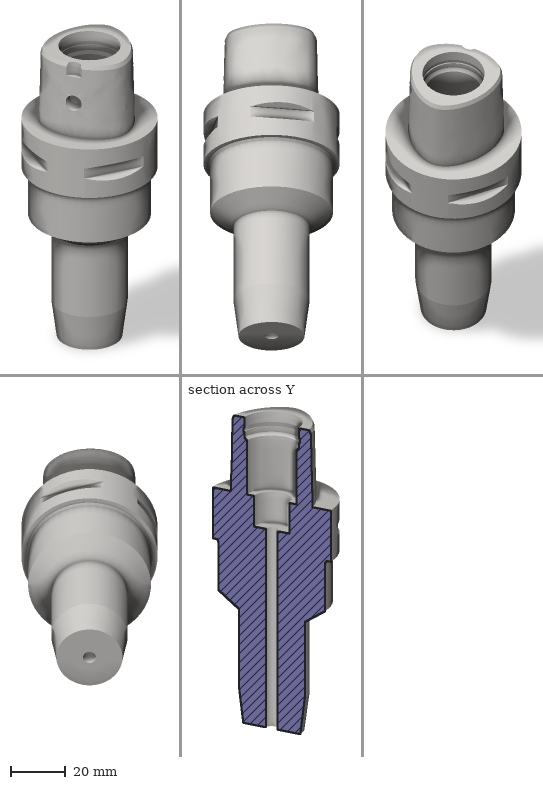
import cadquery as cq
import math

TOTAL_HEIGHT = 120.0
FLANGE_TOP = 90.1
FLANGE_THICKNESS = 20.2
FLANGE_BOTTOM = FLANGE_TOP - FLANGE_THICKNESS
RELIEF_HEIGHT = 1.1
SHOULDER_BOTTOM = 50.2
NECK_TOP = 44.4
TIP_HEIGHT = 14.6

FLANGE_DIAMETER = 50.0
FLANGE_RADIUS = FLANGE_DIAMETER / 2
RELIEF_RADIUS = 23.2
SHOULDER_RADIUS = 22.5
NECK_RADIUS = 14.0
TIP_RADIUS = 12.1

SHANK_BASE_RADIUS = 17.6
SHANK_TOP_RADIUS = 16.9
LOBE_HEIGHT = 1.1
LEAD_IN_HEIGHT = 1.5
LEAD_IN_INSET = 0.7
PROFILE_POINTS = 48

MOUTH_RADIUS = 11.4
MOUTH_DEPTH = 4.1
GROOVE_RADIUS = 11.9
GROOVE_HEIGHT = 1.7
LAND_HEIGHT = 2.2
SEAT_RADIUS = 10.3
SEAT_HEIGHT = MOUTH_RADIUS - SEAT_RADIUS
SEAT_BORE_DEPTH = 30.0
INNER_RADIUS = 7.3
INNER_DEPTH = 42.0
COOLANT_RADIUS = 2.4

NOTCH_RADIUS = 3.2
NOTCH_CENTER_Y = -17.2
NOTCH_DEPTH = 5.2
RADIAL_HOLE_RADIUS = 3.1
RADIAL_HOLE_Z = 104.0
RADIAL_HOLE_FLOOR_Y = -11.8

SLOT_COUNT = 4
SLOT_FLOOR_DISTANCE = 21.8
SLOT_LENGTH = 23.8
SLOT_BEVEL_DISTANCE = 22.5
SLOT_FLOOR_HEIGHT = 4.3
SLOT_MOUTH_HEIGHT = 6.7
SLOT_Z = (FLANGE_TOP + FLANGE_BOTTOM) / 2


def revolve_about_axis(points):
    """Revolve a closed (radius, height) outline about Z."""
    return cq.Workplane("XZ").polyline(points).close().revolve(360, (0, 0, 0), (0, 1, 0))


def make_body():
    return revolve_about_axis([
        (0, 0),
        (TIP_RADIUS, 0),
        (NECK_RADIUS, TIP_HEIGHT),
        (NECK_RADIUS, NECK_TOP),
        (SHOULDER_RADIUS, SHOULDER_BOTTOM),
        (SHOULDER_RADIUS, FLANGE_BOTTOM - RELIEF_HEIGHT),
        (RELIEF_RADIUS, FLANGE_BOTTOM),
        (FLANGE_RADIUS, FLANGE_BOTTOM),
        (FLANGE_RADIUS, FLANGE_TOP),
        (0, FLANGE_TOP),
    ])


def lobed_wire(mean_radius, z):
    """Constant-width trilobe with one lobe toward +Y."""
    points = []
    for i in range(PROFILE_POINTS):
        angle = 2 * math.pi * i / PROFILE_POINTS
        along = mean_radius * math.cos(angle) + LOBE_HEIGHT * (2 * math.cos(2 * angle) - math.cos(4 * angle))
        across = mean_radius * math.sin(angle) - LOBE_HEIGHT * (2 * math.sin(2 * angle) + math.sin(4 * angle))
        points.append(cq.Vector(-across, along, z))
    return cq.Wire.assembleEdges([cq.Edge.makeSpline(points, periodic=True)])


def make_shank():
    lead_in_z = TOTAL_HEIGHT - LEAD_IN_HEIGHT
    base = lobed_wire(SHANK_BASE_RADIUS, FLANGE_TOP)
    middle = lobed_wire(SHANK_TOP_RADIUS, lead_in_z)
    top = lobed_wire(SHANK_TOP_RADIUS - LEAD_IN_INSET, TOTAL_HEIGHT)
    taper = cq.Workplane(cq.Solid.makeLoft([base, middle], True))
    lead_in = cq.Workplane(cq.Solid.makeLoft([middle, top], True))
    return taper.union(lead_in)


def make_bore():
    groove_top = TOTAL_HEIGHT - MOUTH_DEPTH
    groove_bottom = groove_top - GROOVE_HEIGHT
    seat_top = groove_bottom - LAND_HEIGHT
    seat_floor = TOTAL_HEIGHT - SEAT_BORE_DEPTH
    inner_floor = TOTAL_HEIGHT - INNER_DEPTH
    return revolve_about_axis([
        (0, 0),
        (COOLANT_RADIUS, 0),
        (COOLANT_RADIUS, inner_floor),
        (INNER_RADIUS, inner_floor),
        (INNER_RADIUS, seat_floor),
        (SEAT_RADIUS, seat_floor),
        (SEAT_RADIUS, seat_top - SEAT_HEIGHT),
        (MOUTH_RADIUS, seat_top),
        (MOUTH_RADIUS, groove_bottom),
        (GROOVE_RADIUS, groove_bottom),
        (GROOVE_RADIUS, groove_top),
        (MOUTH_RADIUS, groove_top),
        (MOUTH_RADIUS, TOTAL_HEIGHT),
        (0, TOTAL_HEIGHT),
    ])


def make_notch():
    return (
        cq.Workplane("XY", origin=(0, NOTCH_CENTER_Y, TOTAL_HEIGHT - NOTCH_DEPTH))
        .circle(NOTCH_RADIUS)
        .extrude(NOTCH_DEPTH)
    )


def make_radial_hole():
    return (
        cq.Workplane("XZ", origin=(0, RADIAL_HOLE_FLOOR_Y, RADIAL_HOLE_Z))
        .circle(RADIAL_HOLE_RADIUS)
        .extrude(FLANGE_RADIUS)
    )


def make_gripper_slot(angle):
    """Slot across the flange with straight walls at its floor that flare outward, facing the given direction."""
    floor_half = SLOT_FLOOR_HEIGHT / 2
    mouth_half = SLOT_MOUTH_HEIGHT / 2
    return (
        cq.Workplane("XZ")
        .polyline([
            (SLOT_FLOOR_DISTANCE, SLOT_Z - floor_half),
            (SLOT_BEVEL_DISTANCE, SLOT_Z - floor_half),
            (FLANGE_RADIUS, SLOT_Z - mouth_half),
            (FLANGE_RADIUS, SLOT_Z + mouth_half),
            (SLOT_BEVEL_DISTANCE, SLOT_Z + floor_half),
            (SLOT_FLOOR_DISTANCE, SLOT_Z + floor_half),
        ])
        .close()
        .extrude(SLOT_LENGTH / 2, both=True)
        .rotate((0, 0, 0), (0, 0, 1), angle)
    )


result = make_body().union(make_shank())
result = result.cut(make_bore()).cut(make_notch()).cut(make_radial_hole())
for slot in range(SLOT_COUNT):
    result = result.cut(make_gripper_slot((slot + 0.5) * 360 / SLOT_COUNT))